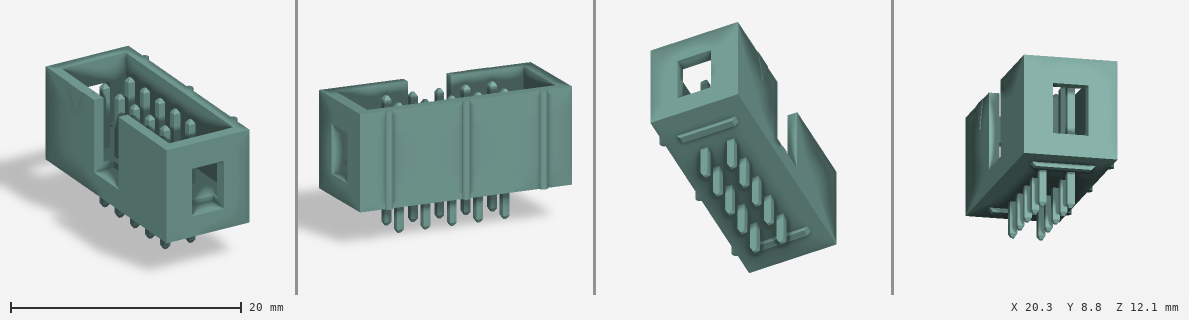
import cadquery as cq


body_length = 20.3
body_width = 8.35
body_height = 8.87
cavity_length = 18.04
cavity_width = 6.47
floor_height = 2.52

opening_bottom = 1.95
key_width = 4.1
key_reach = 2.0
window_width = 3.2
window_top = 6.5
window_reach = 1.8

pins_per_row = 5
row_count = 2
pin_pitch = 2.54
pin_width = 0.65
pin_top = 8.5
pin_bottom = -3.19
tip_height = 0.32
tip_width = 0.26

rib_spacing = 7.4
rib_radius = 0.39
foot_thickness = 0.7
foot_height = 0.39
foot_top_width = 5.68
foot_bottom_width = 5.0
mark_width = 2.05
mark_depth = 2.52
mark_thickness = 0.06

front_y = -body_width / 2
back_y = body_width / 2
pin_one_x = -pin_pitch * (pins_per_row - 1) / 2


def box_between(x_range, y_range, z_range):
    """Box spanning the given (low, high) range along each axis."""
    size = [high - low for low, high in (x_range, y_range, z_range)]
    corner = (x_range[0], y_range[0], z_range[0])
    return cq.Workplane("XY").box(*size, centered=False).translate(corner)


def make_shell():
    """Open-topped box with a keying slot in front and a window in each end."""
    shell = cq.Workplane("XY").box(body_length, body_width, body_height, centered=(True, True, False))
    cavity = (
        cq.Workplane("XY")
        .workplane(offset=floor_height)
        .rect(cavity_length, cavity_width)
        .extrude(body_height - floor_height)
    )
    key_slot = box_between(
        (-key_width / 2, key_width / 2),
        (front_y, front_y + key_reach),
        (opening_bottom, body_height),
    )
    shell = shell.cut(cavity).cut(key_slot)

    end_x = body_length / 2
    for x_range in ((-end_x, -end_x + window_reach), (end_x - window_reach, end_x)):
        window = box_between(
            x_range,
            (-window_width / 2, window_width / 2),
            (opening_bottom, window_top),
        )
        shell = shell.cut(window)
    return shell


def make_tip(base_z, height):
    """Tapered pin end; a negative height points it downwards."""
    return (
        cq.Workplane("XY", origin=(0, 0, base_z))
        .rect(pin_width, pin_width)
        .workplane(offset=height)
        .rect(tip_width, tip_width)
        .loft()
    )


def make_pin():
    """Square pin with a tapered tip at both ends."""
    shank_bottom = pin_bottom + tip_height
    shank_top = pin_top - tip_height
    half = pin_width / 2
    shank = box_between((-half, half), (-half, half), (shank_bottom, shank_top))
    return shank.union(make_tip(shank_top, tip_height)).union(make_tip(shank_bottom, -tip_height))


def make_rib(x):
    """Round rib half sunk into the back wall, over its full height."""
    return cq.Workplane("XY").center(x, back_y).circle(rib_radius).extrude(body_height)


def make_foot(x):
    """Trapezoidal standoff under the housing, running along y."""
    return (
        cq.Workplane("YZ", origin=(x, 0, 0))
        .polyline([
            (-foot_top_width / 2, 0),
            (foot_top_width / 2, 0),
            (foot_bottom_width / 2, -foot_height),
            (-foot_bottom_width / 2, -foot_height),
        ])
        .close()
        .extrude(foot_thickness / 2, both=True)
    )


def make_pin_one_mark():
    """Thin raised triangle on the front wall, pointing down at pin one."""
    return (
        cq.Workplane("XZ", origin=(pin_one_x, front_y, 0))
        .polyline([
            (-mark_width / 2, body_height),
            (mark_width / 2, body_height),
            (0, body_height - mark_depth),
        ])
        .close()
        .extrude(mark_thickness)
    )


result = make_shell()

for rib_x in (-rib_spacing, 0, rib_spacing):
    result = result.union(make_rib(rib_x))

for foot_x in (-rib_spacing, rib_spacing):
    result = result.union(make_foot(foot_x))

result = result.union(make_pin_one_mark())

pin = make_pin()
for column in range(pins_per_row):
    for row in range(row_count):
        pin_x = pin_one_x + column * pin_pitch
        pin_y = (row - (row_count - 1) / 2) * pin_pitch
        result = result.union(pin.translate((pin_x, pin_y, 0)))